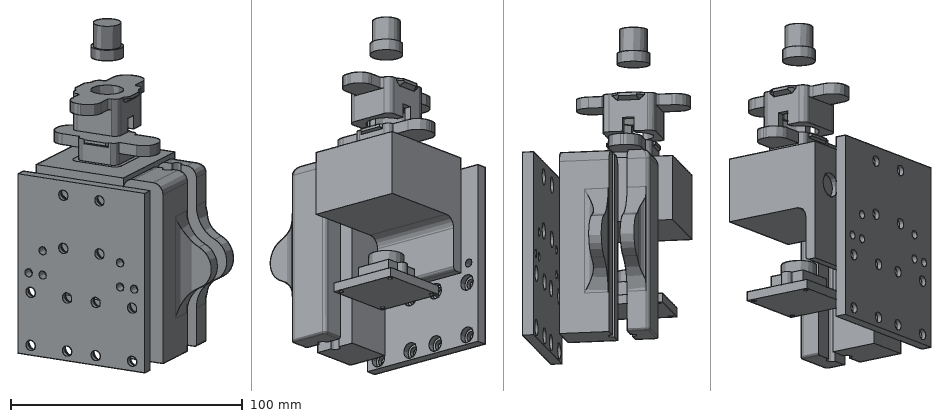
import cadquery as cq
import math


housing_half = 21.5
housing_front = -24.5
housing_top = 80.8
block_bottom = 52.5
wall_bottom = 28.3
wall_thickness = 5.0
wall_inner = housing_front + wall_thickness
wall_root_radius = 5.0
wall_toe_radius = 1.7
pocket_diameter = 10.5
pocket_depth = 2.8
pocket_x = -10.3
pocket_z = 63.8

grip_width = 19.5
plate_right = housing_half + grip_width
plate_back = -35.8
plate_thickness = 5.0
plate_center_x = (plate_right - housing_half) / 2
screw_diameter = 4.5
screw_bore_diameter = 7.0
screw_bore_depth = 2.8
screw_row_pitch = 23.9
upper_screw_z = 50.3
upper_screw_offset = 8.9
lower_screw_z = 4.4
lower_screw_offsets = [7.1, 25.0]
small_diameter = 3.5
small_inner_offset = 19.1
small_outer_offset = 26.0
small_lower_z = 36.9
small_upper_z = 47.8

grip_center_x = housing_half + grip_width / 2
front_grip_inner = -2.5
back_grip_inner = 5.4
back_grip_outer = 15.4
grip_top_radius = 4.8
grip_side_radius = 1.7
grip_bottom_radius = 0.8
channel_diameter = 4.5

front_lug_inner = -3.0
front_lug_outer = -8.5
back_lug_outer = 11.5
lug_tip_radius = 10.0
lug_neck_radius = 15.0
lug_flare_radius = 5.0
lug_tip_reach = lug_flare_radius + lug_tip_radius

paddle_reach = 24.9
paddle_width = 14.3
paddle_thickness = 5.0
paddle_tip_radius = 6.5

lower_top = 90.7
lower_stem = 19.7
lower_stem_radius = 2.8
flange_size = 23.5
flange_radius = 3.1
flange_thickness = 5.0

upper_top = 111.2
upper_bottom = 94.5
upper_stem = 23.2
upper_stem_radius = 3.1
paddle_root_radius = 1.1
cap_hole_diameter = 14.1
cap_bore_diameter = 15.3
cap_bore_bottom = 101.1
cavity_diameter = 17.4
slot_width = 5.0
slot_height = 6.1

lower_lip_reach = 1.0
lower_lip_root = dict(half_top=6.1, half_bottom=6.0, side_drop=1.8, drop=2.1)
lower_lip_tip = dict(half_top=5.2, half_bottom=5.1, side_drop=1.1, drop=1.3)
upper_lip_reach = 2.0
upper_lip_root = dict(half_top=7.1, half_bottom=4.8, side_drop=1.0, drop=3.0)
upper_lip_tip = dict(half_top=4.2, half_bottom=3.8, side_drop=0.8, drop=1.4)

pin_bottom = 126.2
pin_step = 131.0
pin_top = 141.5
pin_collar_diameter = 14.1
pin_stem_diameter = 12.0

board_size = 32.0
board_bottom = 17.4
board_top = 21.4
board_hole_diameter = 2.0
board_hole_offset = 13.9
sensor_size = 17.1
sensor_top = 28.7
button_diameter = 15.3
button_top = 34.2
post_diameter = 5.1


def block(x_range, y_range, z_range):
    """Box given by its limits along each axis."""
    size = [b - a for a, b in (x_range, y_range, z_range)]
    corner = (x_range[0], y_range[0], z_range[0])
    return cq.Workplane("XY").box(*size, centered=False).translate(corner)


def cylinder(diameter, bottom, top, x=0.0, y=0.0):
    """Upright cylinder between two heights."""
    return cq.Workplane("XY", origin=(x, y, bottom)).circle(diameter / 2).extrude(top - bottom)


def square_stem(size, radius, bottom, top):
    """Upright square bar with rounded vertical edges, centred on the stick axis."""
    stem = cq.Workplane("XY", origin=(0, 0, bottom)).rect(size, size).extrude(top - bottom)
    return stem.edges("|Z").fillet(radius)


def make_housing():
    x_range = (-housing_half, housing_half)
    body = block(x_range, (housing_front, housing_half), (block_bottom, housing_top))
    body = body.union(block(x_range, (housing_front, wall_inner), (wall_bottom, housing_top)))
    body = body.edges(cq.selectors.NearestToPointSelector((0, wall_inner, block_bottom))).fillet(wall_root_radius)
    body = body.edges(cq.selectors.NearestToPointSelector((0, wall_inner, wall_bottom))).fillet(wall_toe_radius)

    recess = square_stem(flange_size, flange_radius, housing_top - flange_thickness, housing_top)
    pocket = (
        cq.Workplane("XZ", origin=(pocket_x, housing_front, pocket_z))
        .circle(pocket_diameter / 2)
        .extrude(-pocket_depth)
    )
    return body.cut(recess).cut(pocket)


def make_plate():
    x_range = (-housing_half, plate_right)
    plate = block(x_range, (plate_back - plate_thickness, plate_back), (0, housing_top))

    screws = []
    small_holes = []
    for side in (-1, 1):
        for row in (0, 1):
            rise = row * screw_row_pitch
            screws.append((side * upper_screw_offset, upper_screw_z + rise))
            for offset in lower_screw_offsets:
                screws.append((side * offset, lower_screw_z + rise))
        small_holes.append((side * small_inner_offset, small_lower_z))
        small_holes.append((side * small_outer_offset, small_lower_z))
        small_holes.append((side * small_inner_offset, small_upper_z))

    drill_sets = (
        (screws, screw_diameter, plate_thickness),
        (screws, screw_bore_diameter, screw_bore_depth),
        (small_holes, small_diameter, plate_thickness),
    )
    for points, diameter, depth in drill_sets:
        drills = (
            cq.Workplane("XZ", origin=(plate_center_x, plate_back, 0))
            .pushPoints(points)
            .circle(diameter / 2)
            .extrude(depth)
        )
        plate = plate.cut(drills)
    return plate


def lug_outline():
    """Bell-shaped lug seen along Y: a round tip blended into the grip side by two hollow arcs."""
    center_distance = lug_tip_radius + lug_neck_radius
    neck_run = lug_neck_radius - lug_flare_radius
    neck_rise = math.sqrt(center_distance**2 - neck_run**2)
    blend = lug_tip_radius / center_distance
    blend_x = lug_flare_radius + neck_run * blend
    blend_z = neck_rise * blend

    half_angle = math.atan2(neck_rise, neck_run) / 2
    middle_x = lug_neck_radius * (1 - math.cos(half_angle))
    middle_z = neck_rise - lug_neck_radius * math.sin(half_angle)

    return (
        cq.Workplane("XZ", origin=(plate_right, 0, housing_top / 2))
        .moveTo(0, neck_rise)
        .threePointArc((middle_x, middle_z), (blend_x, blend_z))
        .threePointArc((lug_tip_reach, 0), (blend_x, -blend_z))
        .threePointArc((middle_x, -middle_z), (0, -neck_rise))
        .close()
    )


def make_lug(inner, outer, flare_limit):
    """Lug between two Y positions, flared where its outer face meets the grip."""
    outward = math.copysign(1, outer - inner)
    flare_end = outer + outward * lug_flare_radius
    bow = lug_flare_radius * (1 - math.sqrt(0.5))
    plan = (
        cq.Workplane("XY", origin=(plate_right, 0, 0))
        .moveTo(0, inner)
        .lineTo(lug_tip_reach, inner)
        .lineTo(lug_tip_reach, outer)
        .lineTo(lug_flare_radius, outer)
        .threePointArc((bow, outer + outward * bow), (0, flare_end))
        .close()
        .extrude(housing_top)
    )
    keep = block((plate_right, plate_right + lug_tip_reach), sorted((inner, flare_limit)), (0, housing_top))
    bell = lug_outline().extrude(2 * housing_half, both=True)
    return plan.intersect(keep).intersect(bell)


def cut_channel(grip, inner):
    """Half-round vertical channel in the inner face of a grip half."""
    return grip.cut(cylinder(channel_diameter, 0, housing_top, grip_center_x, inner))


def make_front_grip():
    grip = block((housing_half, plate_right), (housing_front, front_grip_inner), (0, housing_top))
    grip = grip.faces(">Z").edges("|Y").fillet(grip_top_radius)
    grip = grip.union(make_lug(front_lug_inner, front_lug_outer, housing_front))
    return cut_channel(grip, front_grip_inner)


def make_back_grip():
    grip = block((housing_half, plate_right), (back_grip_inner, back_grip_outer), (0, housing_top))
    grip = grip.faces(">Z").edges("|Y or >Y").fillet(grip_top_radius)
    grip = grip.faces(">Y").edges("|Z").fillet(grip_side_radius)
    grip = grip.faces("<Z").edges("not <Y").fillet(grip_bottom_radius)
    lug = make_lug(back_grip_inner, back_lug_outer, back_grip_outer - grip_side_radius)
    return cut_channel(grip.union(lug), back_grip_inner)


def make_paddles(top):
    """Pair of round-ended paddles reaching out along X, in one bar."""
    bar = (
        cq.Workplane("XY", origin=(0, 0, top - paddle_thickness))
        .rect(2 * paddle_reach, paddle_width)
        .extrude(paddle_thickness)
    )
    return bar.edges("|Z").fillet(paddle_tip_radius)


def lip_section(half_top, half_bottom, side_drop, drop):
    """Corner points of a snap lip section hanging from z = 0."""
    return [
        (-half_top, 0),
        (half_top, 0),
        (half_top, -side_drop),
        (half_bottom, -drop),
        (-half_bottom, -drop),
        (-half_top, -side_drop),
    ]


def make_lip(stem_size, top, reach, root, tip):
    """Tapered snap lip on the +X face of a stem."""
    return (
        cq.Workplane("YZ", origin=(stem_size / 2, 0, top))
        .polyline(lip_section(**root))
        .close()
        .workplane(offset=reach)
        .polyline(lip_section(**tip))
        .close()
        .loft(ruled=True, combine=True)
    )


def turned(shape, angle):
    """Shape turned about the stick axis."""
    return shape.rotate((0, 0, 0), (0, 0, 1), angle)


def make_lower_rocker():
    rocker = square_stem(lower_stem, lower_stem_radius, housing_top - flange_thickness, lower_top)
    rocker = rocker.union(square_stem(flange_size, flange_radius, housing_top - flange_thickness, housing_top))
    rocker = rocker.union(make_paddles(lower_top))
    lip = make_lip(lower_stem, lower_top, lower_lip_reach, lower_lip_root, lower_lip_tip)
    for angle in (90, -90):
        rocker = rocker.union(turned(lip, angle))
    return rocker


def make_upper_rocker():
    rocker = square_stem(upper_stem, upper_stem_radius, upper_bottom, upper_top)
    rocker = rocker.union(turned(make_paddles(upper_top), 90))
    for x_sign in (-1, 1):
        for y_sign in (-1, 1):
            root = (x_sign * paddle_width / 2, y_sign * upper_stem / 2, upper_top - paddle_thickness / 2)
            rocker = rocker.edges(cq.selectors.NearestToPointSelector(root)).fillet(paddle_root_radius)
    lip = make_lip(upper_stem, upper_top, upper_lip_reach, upper_lip_root, upper_lip_tip)
    for angle in (0, 180):
        rocker = rocker.union(turned(lip, angle))

    slot = block(
        (-upper_stem, upper_stem),
        (-slot_width / 2, slot_width / 2),
        (upper_bottom, upper_bottom + slot_height),
    )
    rocker = rocker.cut(cylinder(cap_hole_diameter, cap_bore_bottom, upper_top))
    rocker = rocker.cut(cylinder(cap_bore_diameter, cap_bore_bottom, upper_top - paddle_thickness))
    rocker = rocker.cut(cylinder(cavity_diameter, upper_bottom, cap_bore_bottom))
    return rocker.cut(slot)


def make_pin():
    collar = cylinder(pin_collar_diameter, pin_bottom, pin_step)
    return collar.union(cylinder(pin_stem_diameter, pin_bottom, pin_top))


def make_board():
    half = board_size / 2
    board = block((-half, half), (-half, half), (board_bottom, board_top))
    for x_sign in (-1, 1):
        for y_sign in (-1, 1):
            x = x_sign * board_hole_offset
            y = y_sign * board_hole_offset
            board = board.cut(cylinder(board_hole_diameter, board_bottom, board_top, x, y))
    return board


def make_sensor():
    """Square sensor case with a round button on top and a half-round post on its -X side."""
    half = sensor_size / 2
    sensor = block((-half, half), (-half, half), (board_top, sensor_top))
    sensor = sensor.union(cylinder(post_diameter, board_top, sensor_top, -half, 0))
    return sensor.union(cylinder(button_diameter, board_top, button_top))


housing = make_housing()
plate = make_plate()
front_grip = make_front_grip()
back_grip = make_back_grip()
lower_rocker = make_lower_rocker()
upper_rocker = make_upper_rocker()
pin = make_pin()
board = make_board()
sensor = make_sensor()

result = cq.Compound.makeCompound([
    housing.solids().val(),
    plate.solids().val(),
    front_grip.solids().val(),
    back_grip.solids().val(),
    lower_rocker.solids().val(),
    upper_rocker.solids().val(),
    pin.solids().val(),
    board.solids().val(),
    sensor.solids().val(),
])